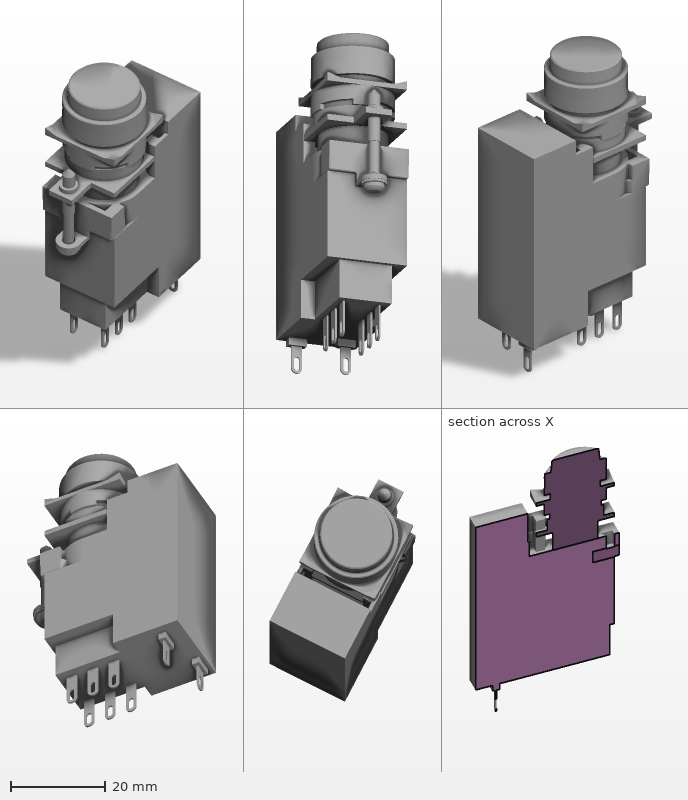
import cadquery as cq
import math


width = 17.9
half_width = width / 2
housing_front = -half_width
housing_back = 22.7
shelf_z = 27.7
deck_z = 34.3
step_z = 43.05
rear_top_z = 46.6
step_front = 5.95
step_back = 10.8
mouth_half_width = 6.1
mouth_flare = 1.5
mouth_flare_depth = 0.75
recess_half_width = 8.1
recess_front = 8.65
recess_ledge = 0.35
recess_ledge_z = 38.5
base_top_z = 8.5
base_half_width = 5.9
base_front = -7.9
base_back = 7.4

block_front = -10.0
block_back = -5.3
block_bottom_z = 30.6
web_back = -4.9
web_half_width = math.sqrt(half_width**2 - web_back**2)
window_half_width = 6.55
window_front = -8.85

bracket_back = -4.0
bracket_corner_x = 1.15
bracket_corner_y = 1.1
bracket_chamfer = 0.2
tab_half_width = 2.8
tab_thickness = 1.0
tab_bottom_z = 24.9
tab_root_fillet = 0.4
tab_hole_radius = 1.4

blade_width = 2.35
blade_thickness = 0.4
blade_length = 7.65
eye_width = 1.2
eye_length = 3.05
eye_center_depth = 5.5
front_blade_pitch = 5.0
front_blade_rows = (-4.25, 3.8)
rear_blades = ((-5.0, 20.95), (5.0, 18.05))
foot_length = 4.05
foot_width = 1.7
foot_height = 1.6

stem_radius = 7.5
hub_radius = 7.6
hub_bottom_z = 38.95
plate_bottom_z = 39.15
plate_top_z = 40.4
plate_back = 5.75
plate_tongue_half_width = 6.0
plate_tongue_back = half_width
plate_tab_half_width = 3.0
plate_tab_front = -16.1
boss_radius = 2.0
boss_top_z = 41.45
ring_radius = 8.45
skirt_bottom_z = 43.5
slot_top_z = 44.7
slot_floor_radius = 8.05
slot_start = 3.0
flange_bottom_z = 47.9
flange_top_z = 48.95
flange_corner_z = 49.9
flange_corner_leg = 2.8
neck_radius = 7.9
bezel_bottom_z = 50.4
bezel_band_z = 51.0
bezel_top_z = 56.65
bezel_top_radius = 8.9
bezel_chamfer = 0.2
cap_base_radius = 7.85
cap_top_radius = 7.65
cap_top_z = 59.95
cap_chamfer = 0.3

screw_y = -13.05
shank_diameter = 2.2
shank_radius = shank_diameter / 2
thread_diameter = 2.65
thread_radius = thread_diameter / 2
thread_bottom_z = 33.8
cone_base_z = 44.3
tip_z = 45.75
knurl_radius = 2.7
knurl_bottom_z = 24.3
knurl_count = 24
knurl_notch_radius = 0.15
head_radius = 2.2
dome_edge_z = 23.45
head_bottom_z = 22.65
head_flat_radius = 1.35
dome_mid_radius = 1.95


def box(x0, x1, y0, y1, z0, z1):
    """Axis-aligned box between opposite corners."""
    return cq.Workplane("XY").box(x1 - x0, y1 - y0, z1 - z0, centered=False).translate((x0, y0, z0))


def wide_box(half_x, y0, y1, z0, z1):
    """Box centred on X = 0."""
    return box(-half_x, half_x, y0, y1, z0, z1)


def disc(radius, z0, z1, y=0):
    """Vertical cylinder centred on X = 0."""
    return cq.Workplane("XY", origin=(0, y, z0)).circle(radius).extrude(z1 - z0)


def make_blade():
    """Solder terminal hanging below Z = 0, flat in the XZ plane, with a rounded tip and an eye."""
    tip_radius = blade_width / 2
    return (
        cq.Workplane("XZ")
        .moveTo(-tip_radius, 0)
        .lineTo(-tip_radius, tip_radius - blade_length)
        .threePointArc((0, -blade_length), (tip_radius, tip_radius - blade_length))
        .lineTo(tip_radius, 0)
        .close()
        .extrude(blade_thickness / 2, both=True)
        .cut(
            cq.Workplane("XZ")
            .center(0, -eye_center_depth)
            .slot2D(eye_length, eye_width, 90)
            .extrude(blade_thickness, both=True)
        )
    )


def add_terminals(body):
    """Two rows of three blades at the front and two footed blades at the rear."""
    blade = make_blade()
    side_blade = blade.rotate((0, 0, 0), (0, 0, 1), 90)
    for x in front_blade_rows:
        for row in (-1, 0, 1):
            body = body.union(side_blade.translate((x, row * front_blade_pitch, 0)))
    foot = cq.Workplane("XY").rect(foot_length, foot_width).extrude(-foot_height)
    for x, y in rear_blades:
        body = body.union(blade.union(foot).translate((x, y, 0)))
    return body


def make_housing():
    body = (
        cq.Workplane("YZ")
        .polyline(
            [
                (housing_front, 0),
                (housing_front, shelf_z),
                (0, shelf_z),
                (0, deck_z),
                (step_front, deck_z),
                (step_front, step_z),
                (step_back, step_z),
                (step_back, rear_top_z),
                (housing_back, rear_top_z),
                (housing_back, 0),
            ]
        )
        .close()
        .extrude(half_width, both=True)
    )

    mouth = wide_box(mouth_half_width, step_front, recess_front, deck_z, step_z)
    flare_half_width = mouth_half_width + mouth_flare
    flare = (
        cq.Workplane("XY", origin=(0, 0, deck_z))
        .polyline(
            [
                (-flare_half_width, step_front),
                (flare_half_width, step_front),
                (mouth_half_width, step_front + mouth_flare_depth),
                (-mouth_half_width, step_front + mouth_flare_depth),
            ]
        )
        .close()
        .extrude(step_z - deck_z)
    )
    body = body.cut(mouth.union(flare))
    body = body.cut(wide_box(recess_half_width, recess_front, step_back, recess_ledge_z, step_z))
    inner_half_width = recess_half_width - recess_ledge
    inner_back = step_back - recess_ledge
    body = body.cut(wide_box(inner_half_width, recess_front, inner_back, deck_z, recess_ledge_z))

    barrel = disc(half_width, shelf_z, deck_z)
    block = wide_box(half_width, block_front, block_back, block_bottom_z, deck_z)
    web = wide_box(web_half_width, block_back, web_back, block_bottom_z, deck_z)
    windows = wide_box(window_half_width, window_front, 0, block_bottom_z, deck_z)
    body = body.union(block.union(web).cut(windows)).union(barrel)
    body = body.cut(wide_box(half_width, block_front, bracket_back, shelf_z, block_bottom_z))

    body = body.cut(wide_box(half_width, housing_front, base_front, 0, base_top_z))
    for x0, x1 in ((-half_width, -base_half_width), (base_half_width, half_width)):
        body = body.cut(box(x0, x1, housing_front, base_back, 0, base_top_z))

    return add_terminals(body)


def make_bracket():
    bar = (
        cq.Workplane("XY", origin=(0, 0, shelf_z))
        .polyline(
            [
                (-half_width, block_front),
                (half_width, block_front),
                (half_width, bracket_back - bracket_corner_y),
                (half_width - bracket_corner_x, bracket_back),
                (bracket_corner_x - half_width, bracket_back),
                (-half_width, bracket_back - bracket_corner_y),
            ]
        )
        .close()
        .extrude(block_bottom_z - shelf_z)
        .edges("<Z or (|Z and <Y)")
        .chamfer(bracket_chamfer)
    )

    root_half_width = tab_half_width + tab_root_fillet
    fillet_bottom_z = shelf_z - tab_root_fillet
    root_z = shelf_z + bracket_chamfer
    hanger = (
        cq.Workplane("XZ", origin=(0, housing_front, 0))
        .moveTo(-tab_half_width, tab_bottom_z)
        .lineTo(-tab_half_width, fillet_bottom_z)
        .radiusArc((-root_half_width, shelf_z), -tab_root_fillet)
        .lineTo(-root_half_width, root_z)
        .lineTo(root_half_width, root_z)
        .lineTo(root_half_width, shelf_z)
        .radiusArc((tab_half_width, fillet_bottom_z), -tab_root_fillet)
        .lineTo(tab_half_width, tab_bottom_z)
        .close()
        .extrude(housing_front - block_front)
    )

    tab_top_z = tab_bottom_z + tab_thickness
    tab = wide_box(tab_half_width, screw_y, housing_front, tab_bottom_z, tab_top_z)
    tab = tab.union(disc(tab_half_width, tab_bottom_z, tab_top_z, screw_y))
    hole = disc(tab_hole_radius, tab_bottom_z, tab_top_z, screw_y)
    return bar.union(hanger).union(tab).cut(hole)


def make_flange():
    """Square flange whose four corners rise to a point."""
    flange = wide_box(half_width, -half_width, half_width, flange_bottom_z, flange_top_z)
    near = half_width - flange_corner_leg
    base = [
        cq.Vector(half_width, half_width, flange_top_z),
        cq.Vector(near, half_width, flange_top_z),
        cq.Vector(half_width, near, flange_top_z),
    ]
    peak = cq.Vector(half_width, half_width, flange_corner_z)
    triangles = [base, [base[0], base[1], peak], [base[1], base[2], peak], [base[2], base[0], peak]]
    faces = [cq.Face.makeFromWires(cq.Wire.makePolygon(points, close=True)) for points in triangles]
    corner = cq.Workplane(cq.Solid.makeSolid(cq.Shell.makeShell(faces)).fix())
    for turn in range(4):
        flange = flange.union(corner.rotate((0, 0, 0), (0, 0, 1), 90 * turn))
    return flange


def make_skirt():
    """Skirt under the flange with a slot at each corner of its lower edge."""
    skirt = disc(half_width, skirt_bottom_z, flange_bottom_z)
    slot = box(slot_start, half_width, slot_start, half_width, skirt_bottom_z, slot_top_z)
    slot = slot.cut(disc(slot_floor_radius, skirt_bottom_z, slot_top_z))
    for turn in range(4):
        skirt = skirt.cut(slot.rotate((0, 0, 0), (0, 0, 1), 90 * turn))
    return skirt


def make_button():
    """Neck, bezel and tapered cap turned about the button axis."""
    return (
        cq.Workplane("XZ")
        .polyline(
            [
                (0, flange_top_z),
                (neck_radius, flange_top_z),
                (neck_radius, bezel_bottom_z),
                (half_width, bezel_bottom_z),
                (half_width, bezel_band_z),
                (bezel_top_radius, bezel_top_z - bezel_chamfer),
                (bezel_top_radius - bezel_chamfer, bezel_top_z),
                (cap_base_radius, bezel_top_z),
                (cap_top_radius, cap_top_z - cap_chamfer),
                (cap_top_radius - cap_chamfer, cap_top_z),
                (0, cap_top_z),
            ]
        )
        .close()
        .revolve(360, (0, 0, 0), (0, 1, 0))
    )


def make_operator():
    stem = disc(stem_radius, deck_z, hub_bottom_z)
    hub = disc(hub_radius, hub_bottom_z, plate_bottom_z)
    plate = wide_box(half_width, housing_front, plate_back, plate_bottom_z, plate_top_z)
    plate_tab = wide_box(plate_tab_half_width, plate_tab_front, housing_front, plate_bottom_z, plate_top_z)
    tongue = wide_box(plate_tongue_half_width, plate_back, plate_tongue_back, plate_bottom_z, plate_top_z)
    boss = disc(boss_radius, plate_top_z, boss_top_z, screw_y)
    ring = disc(ring_radius, plate_bottom_z, skirt_bottom_z)
    screw_hole = disc(thread_radius, plate_bottom_z, boss_top_z, screw_y)

    body = stem.union(hub).union(plate).union(plate_tab).union(tongue).union(boss).cut(screw_hole)
    return body.union(ring).union(make_skirt()).union(make_flange()).union(make_button())


def make_screw():
    dome_mid = (dome_mid_radius, (dome_edge_z + head_bottom_z) / 2)
    body = (
        cq.Workplane("XZ")
        .moveTo(0, head_bottom_z)
        .lineTo(head_flat_radius, head_bottom_z)
        .threePointArc(dome_mid, (head_radius, dome_edge_z))
        .lineTo(head_radius, knurl_bottom_z)
        .lineTo(knurl_radius, knurl_bottom_z)
        .lineTo(knurl_radius, tab_bottom_z)
        .lineTo(shank_radius, tab_bottom_z)
        .lineTo(shank_radius, thread_bottom_z)
        .lineTo(thread_radius, thread_bottom_z)
        .lineTo(thread_radius, cone_base_z)
        .lineTo(0, tip_z)
        .close()
        .revolve(360, (0, 0, 0), (0, 1, 0))
    )
    notches = (
        cq.Workplane("XY", origin=(0, 0, knurl_bottom_z))
        .polarArray(knurl_radius, 0, 360, knurl_count)
        .circle(knurl_notch_radius)
        .extrude(tab_bottom_z - knurl_bottom_z)
    )
    return body.cut(notches).translate((0, screw_y, 0))


housing = make_housing()
bracket = make_bracket()
operator = make_operator()
screw = make_screw()

result = cq.Compound.makeCompound([housing.val(), bracket.val(), operator.val(), screw.val()])